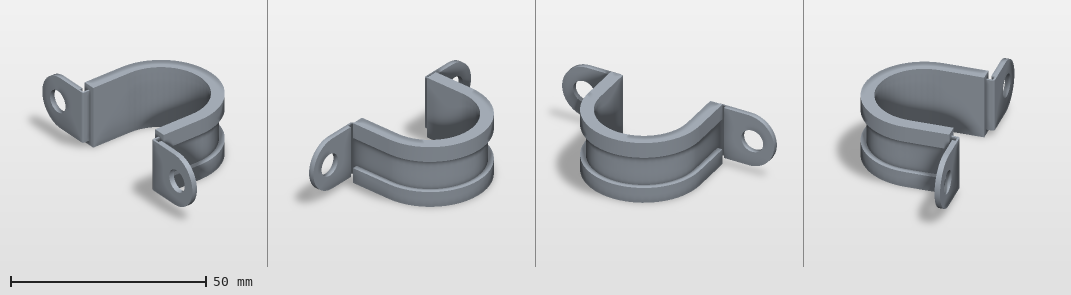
import cadquery as cq

overall_length = 62.2
overall_depth = 30.6
cushion_height = 18.0

cushion_radius = 16.35
bore_radius = 12.8
cushion_end = 2.25
groove_depth = 1.5
groove_height = 9.1
arch_center = overall_depth - cushion_radius

strap_height = 15.05
sheet_thickness = 0.55
strap_radius = cushion_radius - groove_depth

tab_thickness = 1.5
tab_end_radius = strap_height / 2
tab_end_center = overall_length / 2 - tab_end_radius
hole_diameter = 6.4
hole_offset = 24.7


def arch(radius, start, height):
    """Solid arch with straight legs reaching down to y = start, centred on z = 0."""
    return (
        cq.Workplane("XY", origin=(0, 0, -height / 2))
        .moveTo(-radius, start)
        .lineTo(-radius, arch_center)
        .threePointArc((0, arch_center + radius), (radius, arch_center))
        .lineTo(radius, start)
        .close()
        .extrude(height)
    )


def make_cushion():
    body = arch(cushion_radius, cushion_end, cushion_height)
    bore = arch(bore_radius, cushion_end, cushion_height)
    groove = arch(cushion_radius, cushion_end, groove_height)
    groove = groove.cut(arch(strap_radius, cushion_end, groove_height))
    return body.cut(bore).cut(groove)


def make_strap():
    band = arch(strap_radius, 0, strap_height)
    return band.cut(arch(strap_radius - sheet_thickness, 0, strap_height))


def tab_plate(inner_x, thickness):
    """Round-ended plate on the +X side, lying on y = 0."""
    return (
        cq.Workplane("XZ")
        .moveTo(inner_x, -tab_end_radius)
        .lineTo(tab_end_center, -tab_end_radius)
        .threePointArc((overall_length / 2, 0), (tab_end_center, tab_end_radius))
        .lineTo(inner_x, tab_end_radius)
        .close()
        .extrude(-thickness)
    )


def make_tab():
    sheet = tab_plate(strap_radius, sheet_thickness)
    pad = tab_plate(cushion_radius, tab_thickness)
    hole = (
        cq.Workplane("XZ")
        .center(hole_offset, 0)
        .circle(hole_diameter / 2)
        .extrude(-tab_thickness)
    )
    return sheet.union(pad).cut(hole)


def bend_waste():
    """Sharp corner removed to round the outside of the +X bend by one sheet thickness."""
    inner_x = strap_radius - sheet_thickness
    corner = cq.Workplane("XY").box(
        sheet_thickness, sheet_thickness, strap_height, centered=(False, False, True)
    )
    bend = (
        cq.Workplane("XY", origin=(sheet_thickness, sheet_thickness, -strap_height / 2))
        .circle(sheet_thickness)
        .extrude(strap_height)
    )
    return corner.cut(bend).translate((inner_x, 0, 0))


tab = make_tab()
waste = bend_waste()
result = make_cushion().union(make_strap())
result = result.union(tab).union(tab.mirror("YZ"))
result = result.cut(waste).cut(waste.mirror("YZ"))